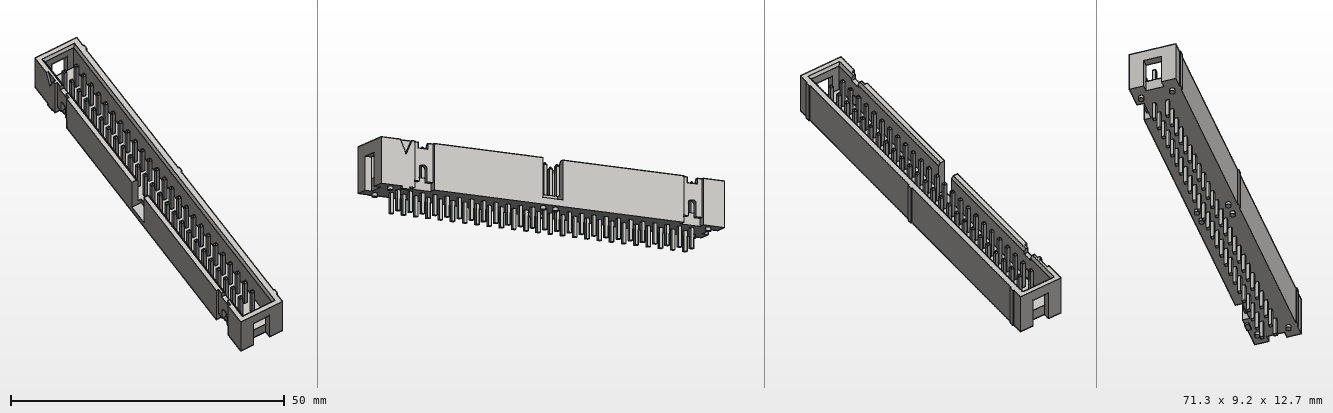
import cadquery as cq

length = 71.3
width = 9.0
height = 8.8
wall = 1.35
floor_height = 2.35
front_y = -width / 2
back_y = width / 2
core_y = -0.1
cavity_width = 2 * (core_y - front_y - wall)
rim_chamfer_width = 0.4
rim_chamfer_drop = 0.6

pin_count = 25
pin_row_length = 61.0
pin_pitch = pin_row_length / (pin_count - 1)
pin_size = 0.65
pin_top = 8.7
pin_bottom = -3.85
pin_tip_length = 0.4
pin_tip_size = 0.1

key_width = 4.15
key_depth = 2.0
key_bottom = 1.3

channel_center = pin_pitch / 2
channel_pitches = 11
channel_offset = channel_pitches * pin_pitch
channel_width = 4.1
channel_depth = 0.5
channel_foot_height = 1.5
notch_width = 2.1
notch_drop = 1.1
arch_width = 1.6
arch_top = 4.6
arch_corner_radius = 0.65

end_slot_width = 3.4
end_slot_top = 6.4

pin_one_x = -pin_row_length / 2
mark_width = 2.4
mark_drop = 2.65
mark_depth = 0.4
pad_width = 1.5
pad_depth = 0.85
pad_height = 0.4

foot_diameter = 1.0
foot_height = 0.65
outer_foot_x = 33.0
foot_positions_x = (-outer_foot_x, -pin_pitch / 2, pin_pitch / 2, outer_foot_x)
foot_row_offset = 3.0
rib_positions = (-outer_foot_x, 0, outer_foot_x)
rib_width = 1.0
rib_depth = 0.2


def block(x_center, x_size, y_min, y_max, z_min, z_max):
    """Box centred on x_center that spans the given Y and Z limits."""
    box = cq.Workplane("XY").box(x_size, y_max - y_min, z_max - z_min, centered=(True, False, False))
    return box.translate((x_center, y_min, z_min))


def make_shell():
    """Open box whose rim is chamfered on the inside."""
    outer = block(0, length, front_y, back_y, 0, height)
    inner_length = length - 2 * wall
    cavity = block(
        0, inner_length, core_y - cavity_width / 2, core_y + cavity_width / 2, floor_height, height
    )
    rim = (
        cq.Workplane("XY", origin=(0, core_y, height - rim_chamfer_drop))
        .rect(inner_length, cavity_width)
        .workplane(offset=rim_chamfer_drop)
        .rect(inner_length + 2 * rim_chamfer_width, cavity_width + 2 * rim_chamfer_width)
        .loft(ruled=True)
    )
    return outer.cut(cavity).cut(rim)


def latch_channel_cut(x):
    """Channel with a top notch, an arched window and a deeper foot recess."""
    channel = block(x, channel_width, front_y, front_y + channel_depth, 0, height)
    notch = block(x, notch_width, front_y, front_y + wall, height - notch_drop, height)
    window = (
        block(x, arch_width, front_y, front_y + wall, 0, arch_top)
        .edges("|Y and >Z")
        .fillet(arch_corner_radius)
    )
    foot_recess = block(x, channel_width, front_y, front_y + wall, 0, channel_foot_height)
    return channel.union(notch).union(window).union(foot_recess)


def pin_one_mark_cut():
    """Triangle pointing down from the rim of the front wall."""
    return (
        cq.Workplane("XZ", origin=(pin_one_x, front_y, height))
        .moveTo(-mark_width / 2, 0)
        .lineTo(mark_width / 2, 0)
        .lineTo(0, -mark_drop)
        .close()
        .extrude(-mark_depth)
    )


def make_pin():
    """Square post on the Z axis with a pyramid on top."""
    shaft_length = pin_top - pin_tip_length - pin_bottom
    return (
        cq.Workplane("XY", origin=(0, 0, pin_bottom))
        .rect(pin_size, pin_size)
        .workplane(offset=shaft_length)
        .rect(pin_size, pin_size)
        .workplane(offset=pin_tip_length)
        .rect(pin_tip_size, pin_tip_size)
        .loft(ruled=True)
    )


housing = make_shell()

housing = housing.cut(block(0, key_width, front_y, front_y + key_depth, key_bottom, height))
for side in (-1, 1):
    housing = housing.cut(latch_channel_cut(channel_center + side * channel_offset))
    slot_x = side * (length - wall) / 2
    housing = housing.cut(block(slot_x, wall, -end_slot_width / 2, end_slot_width / 2, 0, end_slot_top))
housing = housing.cut(pin_one_mark_cut())

housing = housing.union(block(pin_one_x, pad_width, front_y, front_y + pad_depth, -pad_height, 0))
for rib_x in rib_positions:
    housing = housing.union(block(rib_x, rib_width, back_y, back_y + rib_depth, 0, height))
foot_points = [(x, y) for x in foot_positions_x for y in (core_y - foot_row_offset, core_y + foot_row_offset)]
feet = cq.Workplane("XY").pushPoints(foot_points).circle(foot_diameter / 2).extrude(-foot_height)
housing = housing.union(feet)

pin_solid = make_pin().val()
pin_points = [
    (pin_one_x + column * pin_pitch, core_y + side * pin_pitch / 2)
    for column in range(pin_count)
    for side in (-1, 1)
]
pins = cq.Workplane("XY").pushPoints(pin_points).eachpoint(lambda place: pin_solid.moved(place))
result = housing.union(pins)